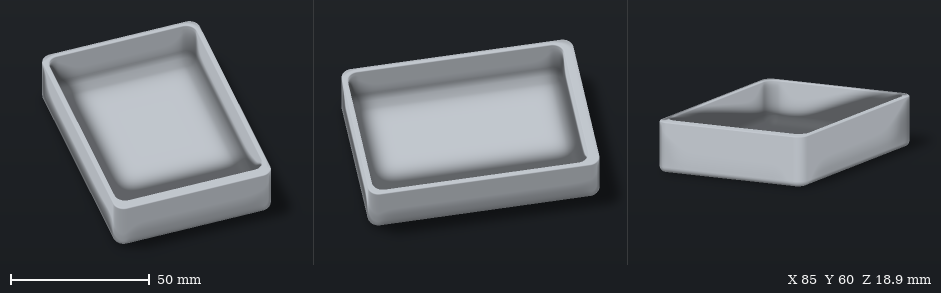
import cadquery as cq

length = 85.0
width = 60.0
height = 18.9

corner_radius = 4.0

thick_wall = 4.0
thin_wall = thick_wall / 2
floor_thickness = thin_wall

bottom_edge_radius = corner_radius / 2
rim_edge_radius = 0.5

cavity_length = length - thin_wall - thick_wall
cavity_width = width - 2 * thin_wall
cavity_depth = height - floor_thickness
cavity_center_x = (thin_wall - thick_wall) / 2


def outer_block():
    """Box with rounded upright corners and a rounded bottom edge."""
    block = cq.Workplane("XY").box(length, width, height, centered=(True, True, False))
    block = block.edges("|Z").fillet(corner_radius)
    return block.faces("<Z").edges().fillet(bottom_edge_radius)


def cavity():
    """Solid filling the open-topped cavity, with rounded upright corners and floor edge."""
    start = cq.Workplane("XY", origin=(cavity_center_x, 0, floor_thickness))
    pocket = start.box(cavity_length, cavity_width, cavity_depth, centered=(True, True, False))
    return pocket.edges("|Z or <Z").fillet(corner_radius)


tray = outer_block().cut(cavity())

result = tray.faces(">Z").edges().fillet(rim_edge_radius)